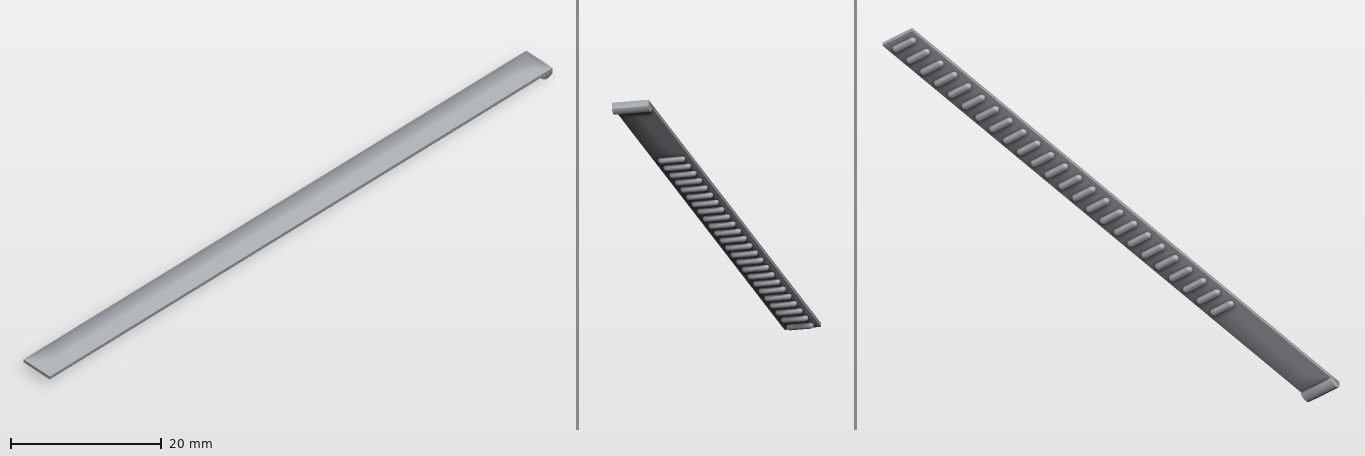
import cadquery as cq

strip_length = 92.8
strip_width = 5.0
strip_thickness = 0.5

overall_height = 1.3
lip_depth = 1.9
lip_side_height = 0.88

rib_count = 24
rib_length = 3.7
rib_width = 1.0
rib_height = 0.6
rib_rounding = 0.42
first_rib_y = 1.5
last_rib_y = 70.5
rib_pitch = (last_rib_y - first_rib_y) / (rib_count - 1)


def make_strip_with_lip():
    """Side profile of the strip and its lip, extruded across the width."""
    lip_front_y = strip_length - lip_depth
    lip_middle_y = strip_length - lip_depth / 2
    lip_side_z = strip_thickness - lip_side_height
    lip_bottom_z = strip_thickness - overall_height
    return (
        cq.Workplane("YZ")
        .moveTo(0, 0)
        .lineTo(lip_front_y, 0)
        .lineTo(lip_front_y, lip_side_z)
        .threePointArc((lip_middle_y, lip_bottom_z), (strip_length, lip_side_z))
        .lineTo(strip_length, strip_thickness)
        .lineTo(0, strip_thickness)
        .close()
        .extrude(strip_width / 2, both=True)
    )


def make_ribs():
    """Ribs hanging below the strip, each with its lower rim rounded."""
    rib = (
        cq.Workplane("XY")
        .slot2D(rib_length, rib_width)
        .extrude(-rib_height)
        .faces("<Z")
        .edges()
        .fillet(rib_rounding)
        .val()
    )
    rib_centres = [(0, first_rib_y + i * rib_pitch) for i in range(rib_count)]
    return cq.Workplane("XY").pushPoints(rib_centres).eachpoint(lambda place: rib.moved(place))


result = make_strip_with_lip().union(make_ribs())